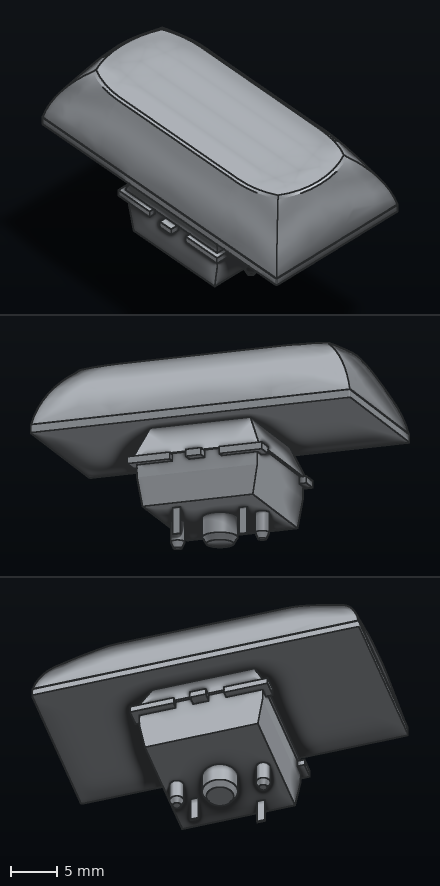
import cadquery as cq
import math

switch_bottom = 2.98
taper_top = 6.3
tab_bottom = 7.7
tab_top = 8.5
body_top = 8.55
skirt_bottom = 12.0
skirt_top = 12.95
shoulder_z = 19.55
rim_side_z = 19.7
rim_corner_z = 19.85

cap_length = 37.2
cap_width = 18.2
skirt_corner_radius = 0.22
wall_ledge = 0.07
wall_radius = 9.82
corner_inset_ratio = 1.5
straight_half = 9.45
corner_lean = 0.2
rim_bevel = 0.37
rim_corner_bevel = 0.25
dish_depth = 0.4
wall_steps = 5

body_width = 14.0
body_bottom_x = 12.85
body_bottom_y = 13.7
neck_bottom_width = 14.6
neck_top_x = 11.65
neck_top_y = 12.05

tab_plate_width = 15.62
corner_tab_x = 4.95
corner_tab_y = 2.0
middle_tab_width = 1.8
middle_tab_span = 16.3

centre_pin_diameter = 3.87
side_pin_diameter = 1.55
side_pin_offset = 4.9
pin_tip_height = 0.7
centre_tip_chamfer = 0.45
side_tip_chamfer = 0.35
contact_width = 0.9
contact_thickness = 0.2
contact_places = [(-3.72, 2.65), (3.1, 5.1)]


def end_edges(side, half_x, half_y, corner, side_z, corner_z):
    """Three edges around one end of a cap outline; side is 1 for +X, -1 for -X."""
    corner_x, corner_y = corner
    seam_start = cq.Vector(side * straight_half, side * half_y, side_z)
    seam_finish = cq.Vector(side * straight_half, -side * half_y, side_z)
    corner_start = cq.Vector(side * corner_x, side * corner_y, corner_z)
    corner_finish = cq.Vector(side * corner_x, -side * corner_y, corner_z)
    if math.isclose(corner_y, half_y):
        return [
            cq.Edge.makeLine(seam_start, corner_start),
            cq.Edge.makeLine(corner_start, corner_finish),
            cq.Edge.makeLine(corner_finish, seam_finish),
        ]
    outward = cq.Vector(side, 0, 0)
    end_middle = cq.Vector(side * half_x, 0, side_z)
    return [
        cq.Edge.makeTangentArc(seam_start, outward, corner_start),
        cq.Edge.makeThreePointArc(corner_start, end_middle, corner_finish),
        cq.Edge.makeTangentArc(seam_finish, outward, corner_finish),
    ]


def straight_edge(side, half_y, z):
    """Long straight edge leaving the finish of the given end."""
    start = cq.Vector(side * straight_half, -side * half_y, z)
    return cq.Edge.makeLine(start, cq.Vector(-side * straight_half, -side * half_y, z))


def outline_edges(half_x, half_y, corner, side_z, corner_z):
    """Closed cap outline: straight long sides, bowed ends and four corners."""
    edges = []
    for side in (1, -1):
        edges += end_edges(side, half_x, half_y, corner, side_z, corner_z)
        edges.append(straight_edge(side, half_y, side_z))
    return edges


def wall_section(z):
    """Half length, half width and corner point of the curved walls at height z."""
    rise = z - skirt_top
    inset = wall_radius - math.sqrt(wall_radius**2 - rise**2)
    lean = corner_lean * rise * (shoulder_z - z) / (shoulder_z - skirt_top)
    corner_inset = corner_inset_ratio * inset + lean
    foot_x = cap_length / 2 - wall_ledge
    foot_y = cap_width / 2 - wall_ledge
    corner = (foot_x - corner_inset, foot_y - corner_inset)
    return foot_x - inset, foot_y - inset, corner


def make_wall_faces():
    """Curved walls, with the flat foot but open at the shoulder."""
    step_height = (shoulder_z - skirt_top) / wall_steps
    wires = []
    for step in range(wall_steps + 1):
        z = skirt_top + step * step_height
        wires.append(cq.Wire.assembleEdges(outline_edges(*wall_section(z), z, z)))
    walls = cq.Workplane(cq.Solid.makeLoft(wires))
    return walls.faces("not >Z").vals()


def dish_seam(side, half_y):
    """Sagging arc across the dish where the straight stretch meets an end."""
    x = side * straight_half
    return cq.Edge.makeThreePointArc(
        cq.Vector(x, half_y, rim_side_z),
        cq.Vector(x, 0, rim_side_z - dish_depth),
        cq.Vector(x, -half_y, rim_side_z),
    )


def make_dome():
    """Curved walls, bevelled rim and dished top, closed into one solid."""
    half_x, half_y, corner = wall_section(shoulder_z)
    shoulder = outline_edges(half_x, half_y, corner, shoulder_z, shoulder_z)
    rim_x = half_x - rim_bevel
    rim_y = half_y - rim_bevel
    rim_corner = (corner[0] - rim_corner_bevel, corner[1] - rim_corner_bevel)
    rim_section = (rim_x, rim_y, rim_corner, rim_side_z, rim_corner_z)
    rim = outline_edges(*rim_section)

    faces = make_wall_faces()
    for low_edge, high_edge in zip(shoulder, rim):
        faces.append(cq.Face.makeRuledSurface(low_edge, high_edge))
    faces.append(cq.Face.makeRuledSurface(dish_seam(1, rim_y), dish_seam(-1, rim_y)))
    for side in (1, -1):
        boundary = end_edges(side, *rim_section) + [dish_seam(side, rim_y)]
        faces.append(cq.Face.makeNSidedSurface(boundary, []))
    return cq.Solid.makeSolid(cq.Shell.makeShell(faces))


def make_skirt():
    skirt = cq.Workplane().workplane(offset=skirt_bottom).rect(cap_length, cap_width)
    return skirt.extrude(skirt_top - skirt_bottom).edges("|Z").fillet(skirt_corner_radius)


def frustum(bottom_z, bottom_size, top_z, top_size):
    base = cq.Workplane().workplane(offset=bottom_z).rect(*bottom_size)
    return base.workplane(offset=top_z - bottom_z).rect(*top_size).loft(ruled=True)


def block(size_x, size_y, bottom_z, top_z, centres=((0, 0),)):
    base = cq.Workplane().workplane(offset=bottom_z).pushPoints(centres)
    return base.rect(size_x, size_y).extrude(top_z - bottom_z)


def make_housing():
    taper = frustum(
        switch_bottom, (body_bottom_x, body_bottom_y), taper_top, (body_width, body_width)
    )
    body = block(body_width, body_width, taper_top, body_top)
    neck = frustum(
        body_top, (neck_bottom_width, neck_bottom_width), skirt_bottom, (neck_top_x, neck_top_y)
    )
    return taper.union(body).union(neck)


def make_tabs():
    x = (tab_plate_width - corner_tab_x) / 2
    y = (tab_plate_width - corner_tab_y) / 2
    corners = [(-x, -y), (-x, y), (x, -y), (x, y)]
    corner_tabs = block(corner_tab_x, corner_tab_y, tab_bottom, tab_top, corners)
    middle_tabs = block(middle_tab_width, middle_tab_span, tab_bottom, tab_top)
    return corner_tabs.union(middle_tabs)


def round_pin(x, diameter, tip_chamfer):
    pin = cq.Workplane().center(x, 0).circle(diameter / 2).extrude(switch_bottom)
    return pin.faces("<Z").chamfer(pin_tip_height, tip_chamfer)


def make_pins():
    pins = round_pin(0, centre_pin_diameter, centre_tip_chamfer)
    for x in (-side_pin_offset, side_pin_offset):
        pins = pins.union(round_pin(x, side_pin_diameter, side_tip_chamfer))
    contacts = block(contact_width, contact_thickness, 0, switch_bottom, contact_places)
    return pins.union(contacts)


result = make_skirt().union(cq.Workplane(make_dome()))
for feature in (make_housing(), make_tabs(), make_pins()):
    result = result.union(feature)